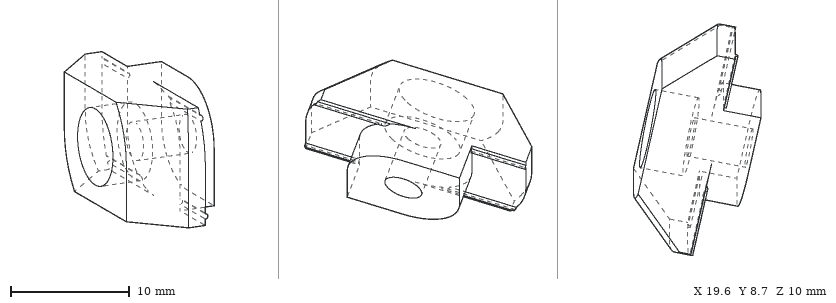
import cadquery as cq
import math

length = 19.6
height = 10.0
depth = 8.7
slope_run = 3.92
wall_depth = 1.57
bore_diameter = 3.3
counterbore_diameter = 6.7
counterbore_depth = 3.72
ridge_radius = 0.24
ridge_offset = 4.2

half_length = length / 2
half_height = height / 2
neck_radius = half_height
shoulder_y = slope_run + wall_depth


def half_turn_outline(radius):
    """Outline with two square corners and two opposite arcs centred on the Y axis."""
    end_x = math.sqrt(radius**2 - half_height**2)
    arc_angle = math.asin(half_height / radius) / 2
    mid_x = radius * math.cos(arc_angle)
    mid_z = radius * math.sin(arc_angle)
    return (
        cq.Workplane("XZ")
        .moveTo(-radius, half_height)
        .lineTo(end_x, half_height)
        .threePointArc((mid_x, mid_z), (radius, 0))
        .lineTo(radius, -half_height)
        .lineTo(-end_x, -half_height)
        .threePointArc((-mid_x, -mid_z), (-radius, 0))
        .close()
    )


def slope_envelope():
    """Space inside the right-hand slope: flat below centre, rounded above it."""
    radius = half_length
    reach = 2 * length
    arc_angle = math.asin(half_height / radius)
    slope_plane = cq.Plane(
        origin=(half_length - slope_run, 0, 0), xDir=(1, -1, 0), normal=(-1, -1, 0)
    )
    return (
        cq.Workplane(slope_plane)
        .moveTo(-reach, -half_height)
        .lineTo(0, -half_height)
        .lineTo(0, 0)
        .threePointArc(
            (radius * (math.cos(arc_angle / 2) - 1), radius * math.sin(arc_angle / 2)),
            (radius * (math.cos(arc_angle) - 1), half_height),
        )
        .lineTo(-reach, half_height)
        .close()
        .extrude(reach, both=True)
    )


head_blank = half_turn_outline(half_length).extrude(-shoulder_y)
right_envelope = slope_envelope()
left_envelope = right_envelope.rotate((0, 0, 0), (0, 1, 0), 180)
head = head_blank.intersect(right_envelope).intersect(left_envelope)

neck = half_turn_outline(neck_radius).extrude(-(depth - shoulder_y)).translate((0, shoulder_y, 0))

ridge_limit = half_turn_outline(half_length).extrude(-depth)
body = head.union(neck)
for ridge_z in (-ridge_offset, ridge_offset):
    ridge = (
        cq.Workplane("YZ")
        .center(shoulder_y, ridge_z)
        .circle(ridge_radius)
        .extrude(half_length, both=True)
        .intersect(ridge_limit)
    )
    body = body.union(ridge, clean=True)

bore = cq.Workplane("XZ").circle(bore_diameter / 2).extrude(-depth)
counterbore = cq.Workplane("XZ").circle(counterbore_diameter / 2).extrude(-counterbore_depth)
result = body.cut(bore).cut(counterbore)